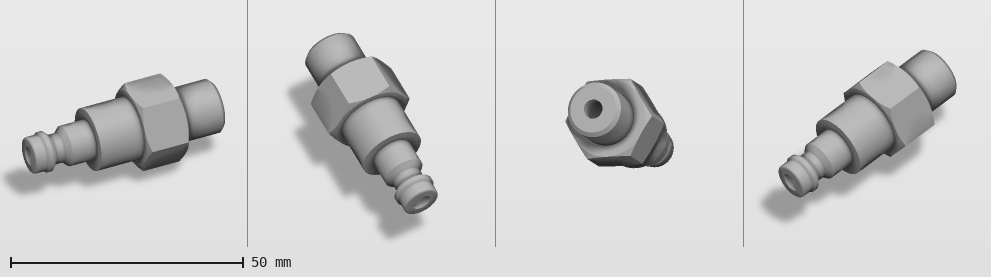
import cadquery as cq
import math

TOTAL_LENGTH = 44.0
TIP_END = 2.6
COLLAR_START = 3.1
COLLAR_END = 4.05
NECK_START = 5.25
NECK_END = 7.15
SHANK_START = 8.4
SLEEVE_START = 14.0
HEX_START = 24.02
HEX_END = 34.0

TIP_DIAMETER = 8.15
NIPPLE_DIAMETER = 8.98
NECK_DIAMETER = 6.6
SLEEVE_DIAMETER = 14.0
THREAD_DIAMETER = 12.0
BORE_DIAMETER = 4.2

TIP_FILLET = 0.5
THREAD_CHAMFER = 0.85
HEX_ACROSS_FLATS = 17.0
HEX_CHAMFER_ANGLE = 30.0


def revolve_about_y(points):
    """Revolve a closed (radius, y) profile about the Y axis."""
    profile = cq.Workplane("XY").polyline(points).close()
    return profile.revolve(360, (0, 0, 0), (0, 1, 0))


def turned_body():
    """Stepped nipple, sleeve and threaded end."""
    tip = TIP_DIAMETER / 2
    nipple = NIPPLE_DIAMETER / 2
    neck = NECK_DIAMETER / 2
    sleeve = SLEEVE_DIAMETER / 2
    thread = THREAD_DIAMETER / 2
    body = revolve_about_y([
        (0, 0),
        (tip, 0),
        (tip, TIP_END),
        (nipple, COLLAR_START),
        (nipple, COLLAR_END),
        (neck, NECK_START),
        (neck, NECK_END),
        (nipple, SHANK_START),
        (nipple, SLEEVE_START),
        (sleeve, SLEEVE_START),
        (sleeve, HEX_END),
        (thread, HEX_END),
        (thread, TOTAL_LENGTH - THREAD_CHAMFER),
        (thread - THREAD_CHAMFER, TOTAL_LENGTH),
        (0, TOTAL_LENGTH),
    ])
    return body.faces("<Y").edges().fillet(TIP_FILLET)


def hexagon():
    """Hexagon with corners on the X axis and conical chamfers at both ends."""
    inner = HEX_ACROSS_FLATS / 2
    across_corners = HEX_ACROSS_FLATS / math.cos(math.pi / 6)
    corner = across_corners / 2
    depth = (corner - inner) * math.tan(math.radians(HEX_CHAMFER_ANGLE))
    prism = (
        cq.Workplane("XZ", origin=(0, HEX_START, 0))
        .polygon(6, across_corners)
        .extrude(HEX_START - HEX_END)
    )
    envelope = revolve_about_y([
        (0, HEX_START),
        (inner, HEX_START),
        (corner, HEX_START + depth),
        (corner, HEX_END - depth),
        (inner, HEX_END),
        (0, HEX_END),
    ])
    return prism.intersect(envelope)


def bore():
    """Through hole along the axis."""
    return cq.Workplane("XZ").circle(BORE_DIAMETER / 2).extrude(-TOTAL_LENGTH)


result = turned_body().union(hexagon()).cut(bore())